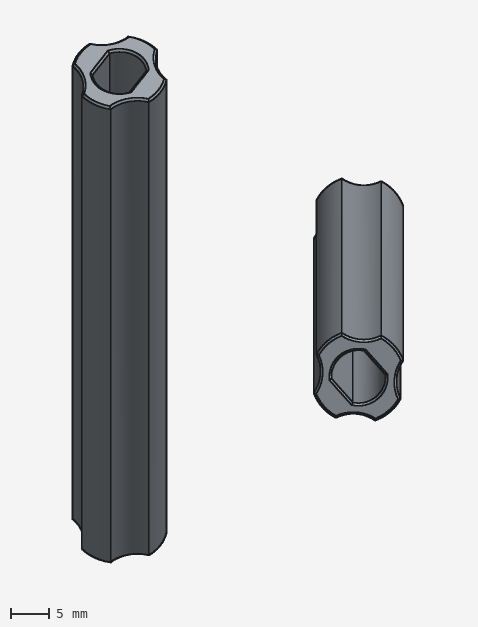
import cadquery as cq
import math

length = 93.75
outer_diameter = 12.5
end_chamfer = 0.3

lobe_count = 4
lobe_width = 4.4
flute_floor_distance = 5.0

bore_diameter = 7.0
bore_width_across_flats = 5.6

outer_radius = outer_diameter / 2
lobe_half_angle = math.asin(lobe_width / 2 / outer_radius)
lobe_spacing = 2 * math.pi / lobe_count


def polar_point(radius, angle):
    return (radius * math.cos(angle), radius * math.sin(angle))


def fluted_bar():
    """Extrude convex lobe arcs joined by concave flute arcs."""
    outline = cq.Workplane("XY").moveTo(*polar_point(outer_radius, -lobe_half_angle))
    for index in range(lobe_count):
        lobe_angle = index * lobe_spacing
        flute_angle = lobe_angle + lobe_spacing / 2
        next_lobe_angle = lobe_angle + lobe_spacing
        outline = outline.threePointArc(
            polar_point(outer_radius, lobe_angle),
            polar_point(outer_radius, lobe_angle + lobe_half_angle),
        )
        outline = outline.threePointArc(
            polar_point(flute_floor_distance, flute_angle),
            polar_point(outer_radius, next_lobe_angle - lobe_half_angle),
        )
    return outline.close().extrude(length)


def double_d_bore():
    """Round bore limited in X by two parallel flats."""
    round_bore = cq.Workplane("XY").circle(bore_diameter / 2).extrude(length)
    between_flats = cq.Workplane("XY").rect(bore_width_across_flats, bore_diameter).extrude(length)
    return round_bore.intersect(between_flats)


def chamfer_ends(bar):
    """Break every edge of both end faces."""
    return bar.faces("<Z or >Z").chamfer(end_chamfer)


result = chamfer_ends(fluted_bar().cut(double_d_bore()))